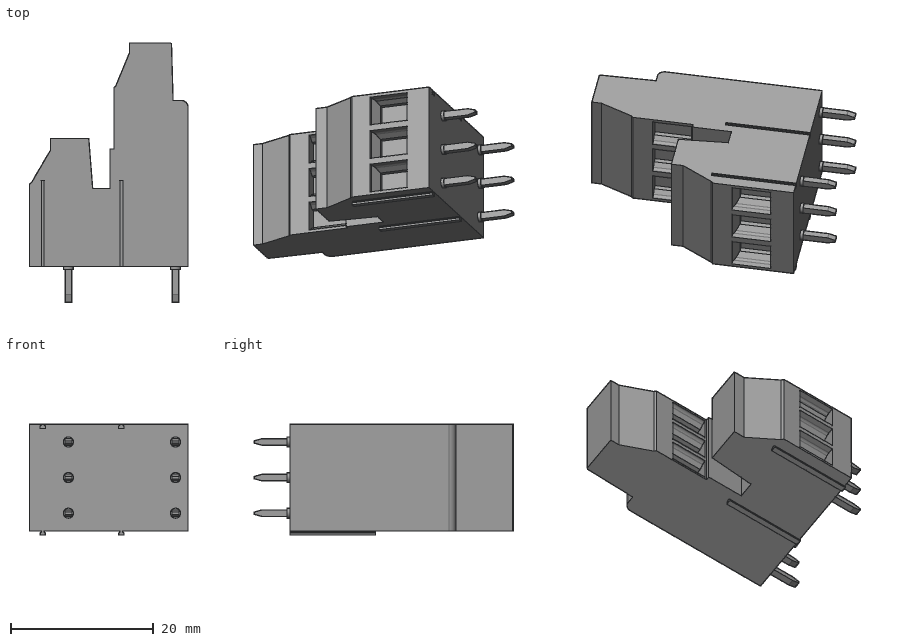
import cadquery as cq


POLE_COUNT = 3
HOUSING_HEIGHT = 15.0
POLE_PITCH = HOUSING_HEIGHT / POLE_COUNT
HOUSING_WIDTH = 22.3
OVERALL_LENGTH = 36.4
BACK_CORNER_RADIUS = 1.02

PIN_LENGTH = 5.02
PIN_WIDTH = 0.95
PIN_TAPER_LENGTH = 1.1
PIN_TIP_HEIGHT = 0.33
COLLAR_DIAMETER = 1.42
COLLAR_LENGTH = 0.45
PIN_COLUMNS = (5.5, 20.53)

HOUSING_LENGTH = OVERALL_LENGTH - PIN_LENGTH
LOWER_TOP = 17.98
LOWER_HEAD_X = 2.95
UPPER_FACE_X = 11.85
UPPER_HEAD_X = 14.05
GAP_FLOOR = 10.95
GAP_WALL_X = 11.32
STEP_LEVEL = 16.53
SHOULDER_LEVEL = 23.35

RAIL_COLUMNS = (1.9, 12.92)
RAIL_LENGTH = 12.05
RAIL_DEPTH = 0.6
RAIL_NECK_DEPTH = 0.1
RAIL_FLARE_DEPTH = 0.3
RAIL_NECK_WIDTH = 0.4
RAIL_HEAD_WIDTH = 0.75

WINDOW_HEIGHT = 4.1
WINDOW_LENGTH = 5.55
WINDOW_TAPER = 0.7
WINDOW_END_TAPER = 0.75
WINDOW_BLEND_RADIUS = 0.85
LOWER_WINDOW_START = 3.28
LOWER_WINDOW_DEPTH = 2.85
LOWER_SLOPE_START = 1.1
LOWER_SLOPE_END = 2.1
LOWER_END_SLOPE_START = 0.6
UPPER_WINDOW_START = 16.75
UPPER_WINDOW_DEPTH = 1.93
UPPER_SLOPE_START = 0.4
UPPER_SLOPE_END = 1.25

POLE_LEVELS = [POLE_PITCH * (pole + 0.5) for pole in range(POLE_COUNT)]


def make_housing():
    """Two-storey housing: one outline in XY, extruded over the full height."""
    outline = [
        (0, 0),
        (0, 11.55),
        (0.33, 11.83),
        (LOWER_HEAD_X, 16.3),
        (LOWER_HEAD_X, LOWER_TOP),
        (8.37, LOWER_TOP),
        (8.9, GAP_FLOOR),
        (GAP_WALL_X, GAP_FLOOR),
        (GAP_WALL_X, STEP_LEVEL),
        (UPPER_FACE_X, STEP_LEVEL),
        (UPPER_FACE_X, 25.1),
        (12.12, 25.35),
        (UPPER_HEAD_X, 30.0),
        (UPPER_HEAD_X, HOUSING_LENGTH),
        (19.85, HOUSING_LENGTH),
        (20.0, 31.23),
        (20.2, SHOULDER_LEVEL),
        (HOUSING_WIDTH, SHOULDER_LEVEL),
        (HOUSING_WIDTH, 0),
    ]
    housing = cq.Workplane("XY").polyline(outline).close().extrude(HOUSING_HEIGHT)
    back_corner = cq.selectors.NearestToPointSelector((HOUSING_WIDTH, SHOULDER_LEVEL, HOUSING_HEIGHT / 2))
    return housing.edges(back_corner).fillet(BACK_CORNER_RADIUS)


def make_rail(x_center, base_level):
    """Flared rail hanging below base_level, running back from the front face."""
    neck = RAIL_NECK_WIDTH / 2
    head = RAIL_HEAD_WIDTH / 2
    section = [
        (-neck, 0),
        (-neck, -RAIL_NECK_DEPTH),
        (-head, -RAIL_FLARE_DEPTH),
        (-head, -RAIL_DEPTH),
        (head, -RAIL_DEPTH),
        (head, -RAIL_FLARE_DEPTH),
        (neck, -RAIL_NECK_DEPTH),
        (neck, 0),
    ]
    rail = cq.Workplane("XZ").polyline(section).close().extrude(-RAIL_LENGTH)
    return rail.translate((x_center, 0, base_level))


def make_window(face_x, y_start, z_center, depth, slope_start, slope_end, end_slope_start=None):
    """Wire window whose floor and ceiling slope inward; its +Y end slopes too if end_slope_start is given."""
    mouth = WINDOW_HEIGHT / 2
    throat = mouth - WINDOW_TAPER
    y_end = y_start + WINDOW_LENGTH
    side_section = [
        (0, -mouth),
        (slope_start, -mouth),
        (slope_end, -throat),
        (depth, -throat),
        (depth, throat),
        (slope_end, throat),
        (slope_start, mouth),
        (0, mouth),
    ]
    window = cq.Workplane("XZ", origin=(0, y_start, 0)).polyline(side_section).close().extrude(-WINDOW_LENGTH)
    for z_bend in (-mouth, mouth):
        bend = cq.selectors.NearestToPointSelector((slope_start, y_start + WINDOW_LENGTH / 2, z_bend))
        window = window.edges(bend).fillet(WINDOW_BLEND_RADIUS)

    if end_slope_start is not None:
        plan = [
            (0, y_start),
            (depth, y_start),
            (depth, y_end - WINDOW_END_TAPER),
            (slope_end, y_end - WINDOW_END_TAPER),
            (end_slope_start, y_end),
            (0, y_end),
        ]
        plan_block = cq.Workplane("XY").polyline(plan).close().extrude(mouth, both=True)
        window = window.intersect(plan_block)
    return window.translate((face_x, 0, z_center))


def make_pin(x_center, z_center):
    """Square pin with a round collar, tapered in Z to a flat tip."""
    half = PIN_WIDTH / 2
    tip = PIN_TIP_HEIGHT / 2
    taper_start = PIN_TAPER_LENGTH - PIN_LENGTH
    side_section = [
        (0, -half),
        (taper_start, -half),
        (-PIN_LENGTH, -tip),
        (-PIN_LENGTH, tip),
        (taper_start, half),
        (0, half),
    ]
    blade = cq.Workplane("YZ").polyline(side_section).close().extrude(half, both=True)
    collar = cq.Workplane("XZ").circle(COLLAR_DIAMETER / 2).extrude(COLLAR_LENGTH)
    return blade.union(collar).translate((x_center, 0, z_center))


result = make_housing()

for rail_x in RAIL_COLUMNS:
    result = result.cut(make_rail(rail_x, HOUSING_HEIGHT))
    result = result.union(make_rail(rail_x, 0))

for level in POLE_LEVELS:
    lower_window = make_window(
        0,
        LOWER_WINDOW_START,
        level,
        LOWER_WINDOW_DEPTH,
        LOWER_SLOPE_START,
        LOWER_SLOPE_END,
        LOWER_END_SLOPE_START,
    )
    upper_window = make_window(
        UPPER_FACE_X,
        UPPER_WINDOW_START,
        level,
        UPPER_WINDOW_DEPTH,
        UPPER_SLOPE_START,
        UPPER_SLOPE_END,
    )
    result = result.cut(lower_window).cut(upper_window)
    for pin_x in PIN_COLUMNS:
        result = result.union(make_pin(pin_x, level))